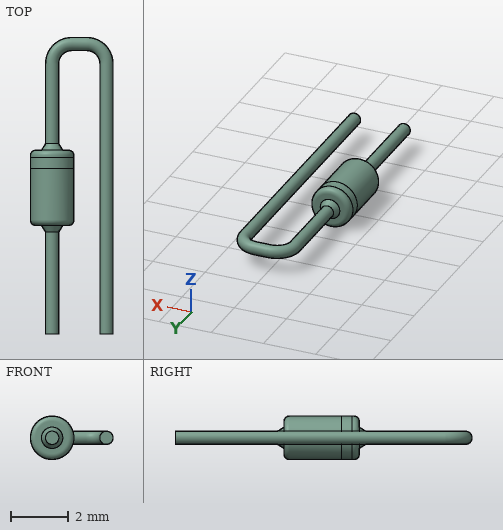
import cadquery as cq

overall_length = 10.4
overall_width = 2.9
lead_diameter = 0.47
lead_radius = lead_diameter / 2
bridge_length = 0.53

housing_diameter = 1.53
housing_radius = housing_diameter / 2
housing_start = 3.81
housing_length = 2.64
housing_end = housing_start + housing_length
rim_fillet = 0.19
cone_base_radius = 0.37
cone_length = 0.23

band_width = 0.37
band_offset = 0.26
band_thickness = 0.05
band_start = housing_end - band_offset - band_width

lead_spacing = overall_width - housing_radius - lead_radius
bend_radius = (lead_spacing - bridge_length) / 2
bridge_y = overall_length - lead_radius
bend_start = bridge_y - bend_radius


def rod(radius, start, end):
    """Round bar on the housing axis, from Y = start to Y = end."""
    return cq.Workplane("XZ", origin=(0, start, 0)).circle(radius).extrude(start - end)


def end_cone(face_y, tip_y):
    """Cone that narrows from a housing end face to the lead."""
    profile = [(0, face_y), (cone_base_radius, face_y), (lead_radius, tip_y), (0, tip_y)]
    return cq.Workplane("XY").polyline(profile).close().revolve(360, (0, 0), (0, 1))


def make_band():
    outer = rod(housing_radius, band_start, band_start + band_width)
    bore = rod(housing_radius - band_thickness, band_start, band_start + band_width)
    return outer.cut(bore)


def make_straight_lead():
    """Front lead, ending in the housing at its front face."""
    return rod(lead_radius, 0, housing_start)


def make_bent_lead():
    """Rear lead, leaving the housing and turning back beside it."""
    diagonal = bend_radius * 0.5 ** 0.5
    path = (
        cq.Workplane("XY")
        .moveTo(0, housing_end)
        .lineTo(0, bend_start)
        .threePointArc((bend_radius - diagonal, bend_start + diagonal), (bend_radius, bridge_y))
        .lineTo(bend_radius + bridge_length, bridge_y)
        .threePointArc(
            (lead_spacing - bend_radius + diagonal, bend_start + diagonal),
            (lead_spacing, bend_start),
        )
        .lineTo(lead_spacing, 0)
    )
    return cq.Workplane("XZ", origin=(0, housing_end, 0)).circle(lead_radius).sweep(path)


def make_housing(fitted_bodies):
    """Housing with recesses that match the band and the leads."""
    body = rod(housing_radius, housing_start, housing_end).edges("%CIRCLE").fillet(rim_fillet)
    body = body.union(end_cone(housing_start, housing_start - cone_length))
    body = body.union(end_cone(housing_end, housing_end + cone_length))
    for fitted_body in fitted_bodies:
        body = body.cut(fitted_body)
    return body


band = make_band()
straight_lead = make_straight_lead()
bent_lead = make_bent_lead()
housing = make_housing([band, straight_lead, bent_lead])

result = cq.Compound.makeCompound([
    housing.val(),
    band.val(),
    straight_lead.val(),
    bent_lead.val(),
])